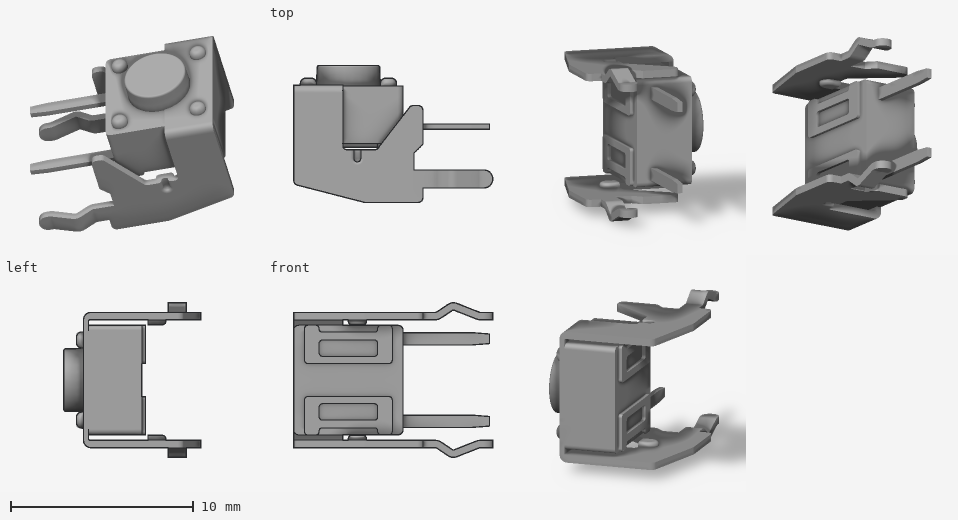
import cadquery as cq
import math


body_size = 6.0
half_body = body_size / 2
body_top = -0.03
body_bottom = -3.19
body_round = 0.28

pad_height = 0.21
pad_half_length = 2.4
pad_inner_z = 0.9
pad_round = 0.17
pad_notch_half_length = 1.6
pad_notch_depth = 0.38
pad_slot_length = 2 * pad_notch_half_length
pad_slot_width = 0.9
pad_slot_z = 1.74
pad_slot_round = 0.2

button_top = 1.08
button_base_radius = 1.75
button_top_radius = 1.71
button_edge_round = 0.11
rivet_offset = 2.19
rivet_radius = 0.45
rivet_top = 0.39
rivet_round = 0.3

pin_z = 2.26
pin_width = 0.69
pin_tip_width = 0.53
pin_end_x = 7.73
pin_taper_x = 6.76
pin_upper_y = -2.11
pin_thickness = 0.3

arm_outer_z = 3.71
sheet = 0.41
arm_inner_z = arm_outer_z - sheet
plate_thickness = 0.28
plate_end_x = -0.3
elbow_inner_round = 0.08
arm_end_x = 4.09
arm_bottom = -6.42
arm_left_bottom = -5.42
arm_slope_end_x = 0.89
arm_corner_round = 0.29
arm_notch_bottom = -3.52
arm_notch_end_x = 1.56
arm_notch_round = 0.22
arm_finger_top = -1.1
arm_finger_x = 3.42
arm_step_x = 3.6
arm_step_top = -3.22
arm_step_bottom = -3.71

tab_end_x = 7.9
tab_upper_y = -4.63
tab_lower_y = -5.62
tab_radius = (tab_upper_y - tab_lower_y) / 2
overall_z = 8.47
tab_rise = overall_z / 2 - arm_outer_z
tab_rise_angle = 33.7
tab_fall_angle = 21.5
crest_x = 5.74
crest_radius = 0.5
foot_radius = 0.19

dimple_x = 0.49
dimple_centre_y = -4.01
dimple_height = 0.27
dimple_outer_radius = 0.5
dimple_edge_round = 0.2
dimple_hollow_radius = 0.19
dimple_hollow_depth = 0.34
dimple_floor_round = 0.15
dimple_rim_round = 0.17


def prism_along_z(outline, low, high):
    """Extrude an outline made on the XY plane from z = low to z = high."""
    return outline.extrude(high - low).translate((0, 0, low))


def prism_along_y(outline, low, high):
    """Extrude an outline made on the XZ plane from y = low to y = high."""
    return outline.extrude(low - high).translate((0, low, 0))


def round_corners(solid, axis, corners, radius):
    """Fillet the edges parallel to the axis that are nearest to the given points."""
    for corner in corners:
        solid = solid.edges(f"|{axis}").edges(cq.selectors.NearestToPointSelector(corner)).fillet(radius)
    return solid


def with_mirror(upper):
    """Join a solid to its mirror image across Z = 0."""
    return upper.union(upper.mirror("XY"))


def make_body():
    block = prism_along_y(cq.Workplane("XZ").rect(body_size, body_size), body_bottom, body_top)
    return block.edges("|Y").fillet(body_round)


def make_pad():
    low = body_bottom - pad_height
    mid = body_bottom - pad_height / 2
    notch_z = half_body - pad_notch_depth
    corners = [
        (-pad_half_length, pad_inner_z),
        (-pad_half_length, half_body),
        (-pad_notch_half_length, half_body),
        (-pad_notch_half_length, notch_z),
        (pad_notch_half_length, notch_z),
        (pad_notch_half_length, half_body),
        (pad_half_length, half_body),
        (pad_half_length, pad_inner_z),
    ]
    pad = prism_along_y(cq.Workplane("XZ").polyline(corners).close(), low, body_bottom)
    pad = round_corners(pad, "Y", [(x, mid, z) for x, z in corners], pad_round)
    slot = prism_along_y(
        cq.Workplane("XZ").center(0, pad_slot_z).rect(pad_slot_length, pad_slot_width), low, body_bottom
    )
    return pad.cut(slot.edges("|Y").fillet(pad_slot_round))


def make_button():
    profile = [(0, body_bottom), (button_base_radius, body_bottom), (button_base_radius, 0)]
    profile += [(button_top_radius, button_top), (0, button_top)]
    button = cq.Workplane("XY").polyline(profile).close().revolve(360, (0, 0), (0, 1))
    return button.faces(">Y").edges().fillet(button_edge_round)


def make_rivets():
    places = [(x, z) for x in (-rivet_offset, rivet_offset) for z in (-rivet_offset, rivet_offset)]
    heads = prism_along_y(cq.Workplane("XZ").pushPoints(places).circle(rivet_radius), body_top, rivet_top)
    return heads.faces(">Y").edges().fillet(rivet_round)


def make_pin():
    outline = [
        (0, -pin_width / 2),
        (pin_taper_x, -pin_width / 2),
        (pin_end_x, -pin_tip_width / 2),
        (pin_end_x, pin_tip_width / 2),
        (pin_taper_x, pin_width / 2),
        (0, pin_width / 2),
    ]
    pin = cq.Workplane("XZ").polyline(outline).close()
    return prism_along_y(pin, pin_upper_y - pin_thickness, pin_upper_y).translate((0, 0, pin_z))


def make_plate():
    """The plate with the two rounded elbows that lead into the arms."""
    leg_end = -2 * sheet
    length = plate_end_x + half_body
    outer = cq.Workplane("XY").box(length, -leg_end, 2 * arm_outer_z, centered=(False, False, True))
    outer = outer.translate((-half_body, leg_end, 0)).edges("|X and >Y").fillet(sheet)
    inner_depth = -leg_end - plate_thickness
    inner = cq.Workplane("XY").box(length, inner_depth, 2 * arm_inner_z, centered=(False, False, True))
    inner = inner.translate((-half_body, leg_end, 0)).edges("|X and >Y").fillet(elbow_inner_round)
    return outer.cut(inner)


def make_arm_plan():
    """The upper arm's outline with its tab, as a tall prism."""
    top = arm_outer_z + tab_rise
    outline = (
        cq.Workplane("XY")
        .moveTo(-half_body, -sheet)
        .lineTo(-half_body, arm_left_bottom)
        .lineTo(arm_slope_end_x, arm_bottom)
        .lineTo(arm_end_x, arm_bottom)
        .lineTo(arm_end_x, tab_lower_y)
        .lineTo(tab_end_x - tab_radius, tab_lower_y)
        .threePointArc((tab_end_x, tab_lower_y + tab_radius), (tab_end_x - tab_radius, tab_upper_y))
        .lineTo(arm_step_x, tab_upper_y)
        .lineTo(arm_step_x, arm_step_bottom)
        .lineTo(arm_end_x, arm_step_top)
        .lineTo(arm_end_x, arm_finger_top)
        .lineTo(arm_finger_x, arm_finger_top)
        .lineTo(arm_notch_end_x, arm_notch_bottom)
        .lineTo(plate_end_x, arm_notch_bottom)
        .lineTo(plate_end_x, -sheet)
        .close()
    )
    plan = prism_along_z(outline, 0, top)
    arm_corners = [
        (-half_body, arm_left_bottom, top / 2),
        (arm_end_x, arm_bottom, top / 2),
        (arm_end_x, arm_finger_top, top / 2),
        (arm_finger_x, arm_finger_top, top / 2),
    ]
    plan = round_corners(plan, "Z", arm_corners, arm_corner_round)
    notch_corners = [(x, arm_notch_bottom, top / 2) for x in (plate_end_x, arm_notch_end_x)]
    return round_corners(plan, "Z", notch_corners, arm_notch_round)


def make_bent_sheet():
    """The upper arm's side profile: flat, then over the crest of the spring tab."""
    rise = math.radians(tab_rise_angle)
    fall = math.radians(tab_fall_angle)
    crest_z = arm_outer_z + tab_rise - crest_radius
    foot_z = arm_outer_z + foot_radius

    def foot_distance(angle):
        return (crest_radius + foot_radius - (foot_z - crest_z) * math.cos(angle)) / math.sin(angle)

    def bends(depth):
        foot = foot_radius + depth
        return [
            (crest_x - foot_distance(rise), foot_z, foot, math.pi, math.pi - rise),
            (crest_x, crest_z, crest_radius - depth, -rise, fall),
            (crest_x + foot_distance(fall), foot_z, foot, math.pi + fall, math.pi),
        ]

    def trace(profile, arcs):
        for x, z, radius, start, end in arcs:
            first, middle, last = [
                (x + radius * math.sin(angle), z + radius * math.cos(angle))
                for angle in (start, (start + end) / 2, end)
            ]
            profile = profile.lineTo(*first).threePointArc(middle, last)
        return profile

    outer_bends = bends(0)
    inner_bends = [(x, z, radius, end, start) for x, z, radius, start, end in reversed(bends(sheet))]
    profile = trace(cq.Workplane("XZ").moveTo(-half_body, arm_outer_z), outer_bends)
    profile = profile.lineTo(tab_end_x, arm_outer_z).lineTo(tab_end_x, arm_inner_z)
    profile = trace(profile, inner_bends).lineTo(-half_body, arm_inner_z).close()
    return prism_along_y(profile, arm_bottom, 0)


def dimple_outline(radius):
    """A straight channel from the arm's notch with a round end."""
    return (
        cq.Workplane("XY")
        .moveTo(dimple_x - radius, arm_notch_bottom)
        .lineTo(dimple_x - radius, dimple_centre_y)
        .threePointArc((dimple_x, dimple_centre_y - radius), (dimple_x + radius, dimple_centre_y))
        .lineTo(dimple_x + radius, arm_notch_bottom)
        .close()
    )


def add_dimple(arm):
    boss = prism_along_z(dimple_outline(dimple_outer_radius), arm_inner_z - dimple_height, arm_outer_z)
    boss = boss.faces("<Z").edges("not >Y").fillet(dimple_edge_round)
    hollow_floor = arm_outer_z - dimple_hollow_depth
    hollow = prism_along_z(dimple_outline(dimple_hollow_radius), hollow_floor, arm_outer_z)
    hollow = hollow.faces("<Z").edges("not >Y").fillet(dimple_floor_round)
    arm = arm.union(boss).cut(hollow)

    rim_reach = dimple_hollow_radius + dimple_rim_round
    rim = cq.selectors.BoxSelector(
        (dimple_x - rim_reach, dimple_centre_y - rim_reach, hollow_floor + dimple_hollow_depth / 2),
        (dimple_x + rim_reach, arm_notch_bottom - dimple_rim_round / 2, arm_outer_z + dimple_rim_round),
    )
    return arm.edges(rim).edges("not |Z").fillet(dimple_rim_round)


def make_arm():
    return add_dimple(make_arm_plan().intersect(make_bent_sheet()))


switch = make_body().union(make_button()).union(make_rivets())
switch = switch.union(with_mirror(make_pad())).union(with_mirror(make_pin()))
bracket = make_plate().union(with_mirror(make_arm()))
result = switch.union(bracket).clean()